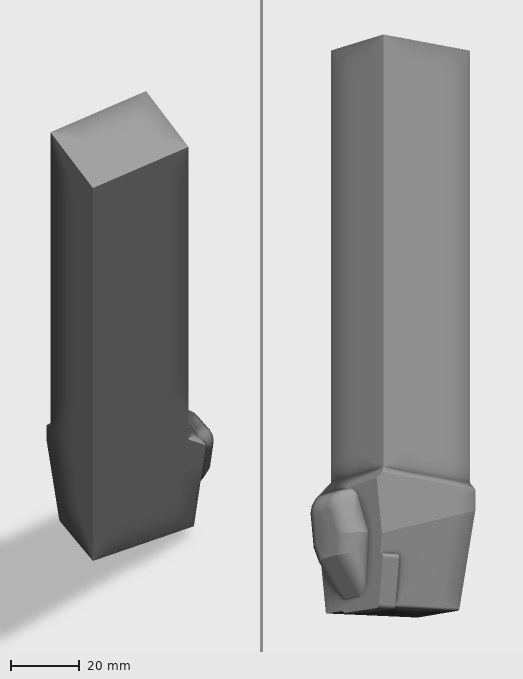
import cadquery as cq
import math

length = 171.4
head_width = 27.2
shank_width = 24.8
shank_depth = 32.0
side_step = head_width - shank_width
head_top = 41.8
head_block_depth = 41.1
trim_size = 102.8
holder_corner_radius = 0.9

nose_x = 4.5
nose_y = 32.2
nose_z = -0.07
rise_along_x = 0.06
rise_along_z = 0.12
side_edge_angle = 105.0
end_edge_angle = 4.5

insert_edge = 16.1
insert_thickness = 6.3
insert_corner_radius = 1.2
side_overhang = 1.4
end_overhang = 0.7

clamp_left = (1.5, 22.8)
clamp_rear_left = (5.8, 38.5)
clamp_rear_right = (22.0, 38.5)
clamp_right = (22.0, 20.5)
clamp_tip_right = (15.5, 3.5)
clamp_tip_left = (5.5, 3.5)
clamp_height = 7.0
clamp_side_draft = 22.0
clamp_rear = 36.8
clamp_rear_draft = 11.0
clamp_ramp_start = 4.6
clamp_ramp_angle = 30.0
clamp_crest_radius = 4.3
clamp_rear_crest_radius = 6.0

rake_plane = cq.Plane(
    origin=(nose_x, nose_y, nose_z),
    xDir=(1, rise_along_x, 0),
    normal=(rise_along_x, -1, rise_along_z),
)


def along(angle, distance):
    """Vector on the rake plane with the given direction and length."""
    turn = math.radians(angle)
    return cq.Vector(distance * math.cos(turn), distance * math.sin(turn))


def rhomboid_prism(corner, end_length, side_length, thickness):
    """Prism below the rake face, with two sides parallel to each cutting edge."""
    end = along(end_edge_angle, end_length)
    side = along(side_edge_angle, side_length)
    outline = [corner, corner + end, corner + end + side, corner + side]
    return (
        cq.Workplane(rake_plane)
        .polyline([point.toTuple()[:2] for point in outline])
        .close()
        .extrude(thickness)
    )


def make_insert():
    corner_edges = cq.selectors.ParallelDirSelector(rake_plane.zDir)
    prism = rhomboid_prism(cq.Vector(0, 0), insert_edge, insert_edge, insert_thickness)
    return prism.edges(corner_edges).fillet(insert_corner_radius)


def make_blank():
    """Shank with a head that widens at 45 degrees towards -X and +Y."""
    shank = (
        cq.Workplane("XY")
        .box(shank_width, shank_depth, length, centered=False)
        .translate((side_step, 0, 0))
    )
    side_outline = [
        (0, -trim_size),
        (head_width, -trim_size),
        (head_width, head_top),
        (side_step, head_top),
        (0, head_top - side_step),
    ]
    depth_outline = [
        (0, -trim_size),
        (head_block_depth, -trim_size),
        (head_block_depth, head_top - (head_block_depth - shank_depth)),
        (shank_depth, head_top),
        (0, head_top),
    ]
    side_prism = cq.Workplane("XZ").polyline(side_outline).close().extrude(-head_block_depth)
    depth_prism = cq.Workplane("YZ").polyline(depth_outline).close().extrude(head_width)
    return shank.union(side_prism.intersect(depth_prism))


def make_flank_envelope():
    """Space between the two flanks and below the rake face, open towards the shank."""
    corner_sine = math.sin(math.radians(side_edge_angle - end_edge_angle))
    corner = along(end_edge_angle, side_overhang / corner_sine)
    corner += along(side_edge_angle, end_overhang / corner_sine)
    prism = rhomboid_prism(corner, 2 * length, 2 * length, trim_size)
    middle_of_corner_edge = rake_plane.toWorldCoords((corner.x, corner.y, trim_size / 2))
    corner_edge = cq.selectors.NearestToPointSelector(middle_of_corner_edge.toTuple())
    return prism.edges(corner_edge).fillet(holder_corner_radius)


def make_clamp_profile():
    """Side profile of the clamp, with its front ramp, leaning rear wall and rounded rear crest."""
    rear_setback = clamp_height * math.tan(math.radians(clamp_rear_draft))
    ramp_length = clamp_height / math.tan(math.radians(clamp_ramp_angle))
    top_rear = (clamp_rear - rear_setback, -clamp_height)
    side_plane = cq.Plane(rake_plane.origin, xDir=rake_plane.yDir, normal=rake_plane.xDir)
    profile = (
        cq.Workplane(side_plane)
        .moveTo(clamp_ramp_start, 0)
        .lineTo(clamp_rear, 0)
        .lineTo(*top_rear)
        .lineTo(clamp_ramp_start + ramp_length, -clamp_height)
        .close()
        .extrude(head_width)
    )
    middle_of_rear_crest = side_plane.toWorldCoords((*top_rear, head_width / 2))
    rear_crest = cq.selectors.NearestToPointSelector(middle_of_rear_crest.toTuple())
    return profile.edges(rear_crest).fillet(clamp_rear_crest_radius)


def make_clamp():
    """Clamp standing on the rake face, with rounded edges along its ramp, top and rear wall."""
    outline = [
        clamp_tip_left,
        clamp_tip_right,
        clamp_right,
        clamp_rear_right,
        clamp_rear_left,
        clamp_left,
    ]
    plan_prism = (
        cq.Workplane(rake_plane)
        .polyline(outline)
        .close()
        .extrude(-clamp_height, taper=clamp_side_draft)
    )
    clamp = plan_prism.intersect(make_clamp_profile())
    across = rake_plane.xDir
    base = cq.selectors.DirectionMinMaxSelector(rake_plane.zDir)
    crest_faces = clamp.faces(cq.selectors.PerpendicularDirSelector(across) - base)
    crest_edges = crest_faces.edges(-cq.selectors.ParallelDirSelector(across))
    return crest_edges.fillet(clamp_crest_radius)


def make_holder(insert):
    """Holder with its clamp, and a pocket that matches the insert."""
    body = make_blank().intersect(make_flank_envelope())
    return body.cut(insert).union(make_clamp())


insert = make_insert()
holder = make_holder(insert)
result = cq.Compound.makeCompound([*holder.solids().vals(), *insert.solids().vals()])